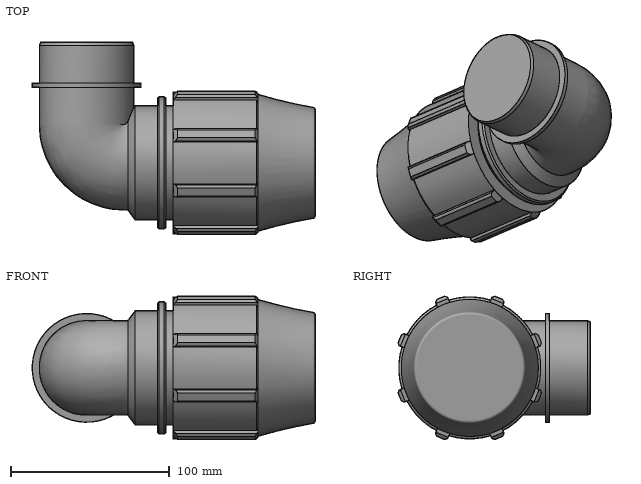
import cadquery as cq
import math


pipe_radius = 59.61 / 2
bend_radius = 24.0
spigot_end = 75.99
spigot_chamfer_length = 2.0
spigot_chamfer_depth = 0.8
flange_radius = 68.56 / 2
flange_start = 47.6
flange_thickness = 2.6

body_radius = 72.0 / 2
neck_end = 26.0
cone_end = 30.6

collar_radius = 83.52 / 2
collar_start = 44.7
collar_end = 49.9
collar_chamfer = 1.0

nut_radius = 44.75
nut_start = 54.5
nut_end = 107.8
nut_edge_length = 0.8
nose_start_radius = 43.2
nose_end_radius = 34.75
nose_end = 144.0
nose_sag = 0.6
nose_fillet = 1.5

rib_count = 8
rib_top_radius = 47.79
rib_shoulder_radius = 46.4
rib_root_radius = 43.0
rib_top_width = 5.3
rib_width = 8.4
rib_start_step_radius = 44.6
rib_end_step_radius = 45.6
rib_top_start = 57.4
rib_top_end = 106.2


def disc_x(radius, start, end):
    """Cylinder about the X axis."""
    return cq.Workplane("YZ").workplane(offset=start).circle(radius).extrude(end - start)


def make_spigot():
    """Pipe along +Y with a chamfered mouth and a thin flange."""
    chamfer_start = spigot_end - spigot_chamfer_length
    profile = (
        cq.Workplane("XY")
        .moveTo(0, bend_radius)
        .lineTo(pipe_radius, bend_radius)
        .lineTo(pipe_radius, flange_start)
        .lineTo(flange_radius, flange_start)
        .lineTo(flange_radius, flange_start + flange_thickness)
        .lineTo(pipe_radius, flange_start + flange_thickness)
        .lineTo(pipe_radius, chamfer_start)
        .lineTo(pipe_radius - spigot_chamfer_depth, spigot_end)
        .lineTo(0, spigot_end)
        .close()
    )
    return profile.revolve(360, (0, 0, 0), (0, 1, 0))


def make_bend():
    """Quarter bend. The bend is tighter than the pipe radius, so the section stops at the bend axis."""
    axis_half_height = math.sqrt(pipe_radius**2 - bend_radius**2)
    section = (
        cq.Workplane("XZ", origin=(0, bend_radius, 0))
        .moveTo(bend_radius, axis_half_height)
        .threePointArc((-pipe_radius, 0), (bend_radius, -axis_half_height))
        .close()
    )
    return section.revolve(90, (bend_radius, 0, 0), (bend_radius, 1, 0))


def make_body():
    """Short neck, cone and cylinder that carry the collar and the nut."""
    profile = (
        cq.Workplane("XY")
        .moveTo(bend_radius, 0)
        .lineTo(bend_radius, pipe_radius)
        .lineTo(neck_end, pipe_radius)
        .lineTo(cone_end, body_radius)
        .lineTo(nut_start, body_radius)
        .lineTo(nut_start, 0)
        .close()
    )
    return profile.revolve(360, (0, 0, 0), (1, 0, 0))


def make_collar():
    """Ring in front of the nut, chamfered on both rims."""
    return disc_x(collar_radius, collar_start, collar_end).edges().chamfer(collar_chamfer)


def make_nut():
    """Cylindrical grip with a slightly concave, tapering nose."""
    mid_x = (nut_end + nose_end) / 2
    mid_radius = (nose_start_radius + nose_end_radius) / 2 - nose_sag
    profile = (
        cq.Workplane("XY")
        .moveTo(nut_start, 0)
        .lineTo(nut_start, nut_radius)
        .lineTo(nut_end - nut_edge_length, nut_radius)
        .lineTo(nut_end, nose_start_radius)
        .threePointArc((mid_x, mid_radius), (nose_end, nose_end_radius))
        .lineTo(nose_end, 0)
        .close()
    )
    nut = profile.revolve(360, (0, 0, 0), (1, 0, 0))
    return nut.faces(">X").edges().fillet(nose_fillet)


def make_rib():
    """Chamfered bar on the +Z side of the nut, sloped at both ends."""
    half_width = rib_width / 2
    half_top = rib_top_width / 2
    bar = (
        cq.Workplane("YZ", origin=(nut_start, 0, 0))
        .moveTo(-half_width, rib_root_radius)
        .lineTo(-half_width, rib_shoulder_radius)
        .lineTo(-half_top, rib_top_radius)
        .lineTo(half_top, rib_top_radius)
        .lineTo(half_width, rib_shoulder_radius)
        .lineTo(half_width, rib_root_radius)
        .close()
        .extrude(nut_end - nut_start)
    )
    side_outline = (
        cq.Workplane("XZ")
        .moveTo(nut_start, rib_root_radius)
        .lineTo(nut_start, rib_start_step_radius)
        .lineTo(rib_top_start, rib_top_radius)
        .lineTo(rib_top_end, rib_top_radius)
        .lineTo(nut_end, rib_end_step_radius)
        .lineTo(nut_end, rib_root_radius)
        .close()
        .extrude(half_width, both=True)
    )
    return bar.intersect(side_outline)


result = make_spigot().union(make_bend()).union(make_body()).union(make_collar()).union(make_nut())
rib = make_rib()
rib_pitch = 360 / rib_count
for index in range(rib_count):
    angle = (index + 0.5) * rib_pitch
    result = result.union(rib.rotate((0, 0, 0), (1, 0, 0), angle))